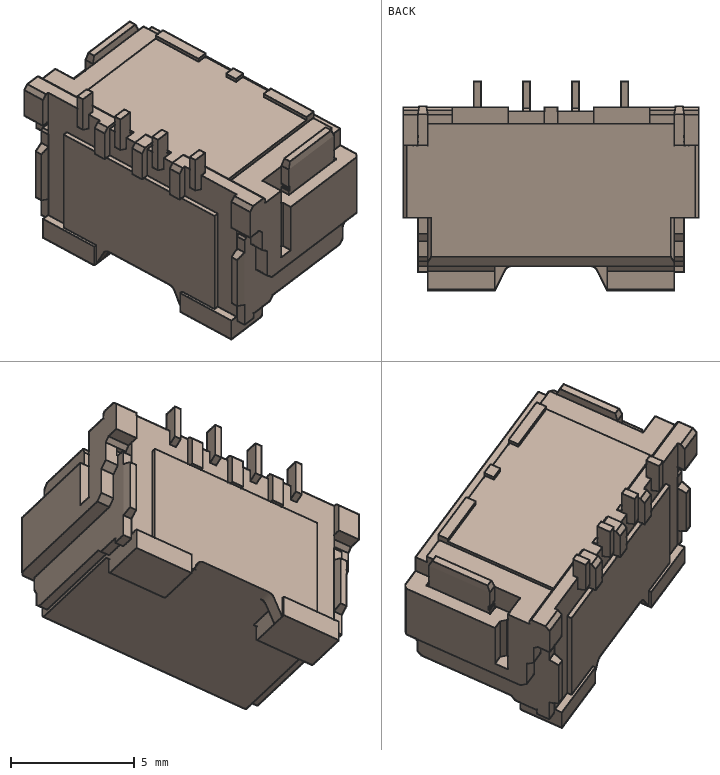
import cadquery as cq
import math


WIDTH = 12.0
DEPTH = 6.9
HEIGHT = 8.5

WING_X = WIDTH / 2
WALL_X = 5.4
BODY_X = 5.0
PANEL_X = 4.01
FOOT_INNER_X = 2.28

FRONT_Y = 0.05
PANEL_Y = 0.17
BODY_Y = 0.37
WALL_Y = 0.41
WING_STEP_Y = 0.8
STEP_Y = 2.0
SHELF_Y = 6.37

FLOOR_Z = 1.0
WING_BOTTOM_Z = 2.96
WALL_TOP_Z = 5.3
WING_STEP_Z = 5.71
WING_TOP_Z = 5.9
SHELF_Z = 6.78
STRIP_Z = 7.14
PLATE_Z = 7.3
TOP_Z = 7.45

CORNER_CHAMFER = 0.15
WALL_CHAMFER = 0.1

BAR_BACK_Y = 1.0
BAR_CHAMFER = 0.19
BAR_BACK_CHAMFER_Y = 0.08
BAR_BACK_CHAMFER_Z = 0.12

PIN_PITCH = 1.99

RIB_WIDTH = 0.53
RIB_PITCH = PIN_PITCH
PAD_LENGTH_Y = 0.45
PAD_OVERHANG = 0.04

PIN_COUNT = 4
PIN_WIDTH = 0.3
PIN_DEPTH = 0.6
PIN_TIP_Z = 6.89
PIN_DROP = 0.17
PIN_HEEL_Y = 0.84
PIN_HEEL_RISE = 0.12

OPENING_DRAFT = 26.3
OPENING_RADIUS = 0.3
OPENING_LIP_BACK_Y = 0.72

FOOT_BACK_CHAMFER = 0.07
FOOT_ROOT_CHAMFER = 0.19

WING_LEDGE_Y = 1.12
WING_LEDGE_TOP_Z = 4.51
WING_LEDGE_DROP = 0.26
WING_ROOT_CHAMFER_Y = 0.29
WING_ROOT_CHAMFER_Z = 0.26

WALL_TOE_Z = 0.75
WALL_RISE = 0.2
WALL_BOTTOM_CHAMFER = 0.19
WALL_BACK_Y = 6.59
WALL_FLARE_Z = 2.0
WALL_FLARE_RISE = 0.31

BODY_CHAMFER_Y = 0.24
BODY_CHAMFER_Z = 0.4

SLOT_LENGTH_Y = 0.6
SLOT_FLOOR_Z = 3.62
SLOT_CHAMFER = 0.19
RAMP_SIZE = 0.38

CLEARANCE_DEPTH = 0.19

TAB_TAPER_X = 0.05
TOP_TAB_Y = (3.19, 6.05)
TOP_TAB_Z = 7.5
TOP_TAB_SHOULDER_Z = 7.18
TOP_TAB_TAPER_Y = 0.13
TAB_POCKET_GAP = 0.05
TAB_POCKET_BACK_GAP = 0.08
TAB_POCKET_DEPTH = 0.12
TAB_NOTCH_Z = (6.05, 6.23)
TAB_NOTCH_DEPTH = 0.07
FRONT_TAB_Z = (1.81, 4.57)
FRONT_TAB_TAPER_Z = 0.17


def box(x0, x1, y0, y1, z0, z1):
    return cq.Workplane("XY").box(x1 - x0, y1 - y0, z1 - z0, centered=False).translate((x0, y0, z0))


def side_profile(points, x0, x1):
    """Extrude a (Y, Z) outline from x0 to x1."""
    return cq.Workplane("YZ", origin=(x0, 0, 0)).polyline(points).close().extrude(x1 - x0)


def both_sides(shape):
    return shape.union(shape.mirror("YZ"))


def main_body():
    outline = [
        (BODY_Y, FLOOR_Z),
        (DEPTH - BODY_CHAMFER_Y, FLOOR_Z),
        (DEPTH, FLOOR_Z + BODY_CHAMFER_Z),
        (DEPTH, SHELF_Z),
        (SHELF_Y, SHELF_Z),
        (SHELF_Y, STRIP_Z),
        (BODY_Y, STRIP_Z),
    ]
    body = side_profile(outline, -BODY_X, BODY_X)
    for side in (-1, 1):
        corner = [
            (side * BODY_X, DEPTH),
            (side * BODY_X, DEPTH - CORNER_CHAMFER),
            (side * (BODY_X - CORNER_CHAMFER), DEPTH),
        ]
        below_wing = cq.Workplane("XY").polyline(corner).close().extrude(WING_BOTTOM_Z)
        body = body.cut(below_wing)
    top_plate = box(-PANEL_X, PANEL_X, BODY_Y, SHELF_Y, STRIP_Z, PLATE_Z)
    front_panel = box(-PANEL_X, PANEL_X, PANEL_Y, BODY_Y, FLOOR_Z, WING_TOP_Z)
    return body.union(top_plate).union(front_panel)


def wings():
    """Outer layer: end block at the front, stepped underside and slotted side wing."""
    outline = [
        (FRONT_Y, WING_TOP_Z),
        (WING_STEP_Y - (WING_TOP_Z - WING_STEP_Z), WING_TOP_Z),
        (WING_STEP_Y, WING_STEP_Z),
        (WING_STEP_Y, WING_LEDGE_TOP_Z + WING_LEDGE_DROP),
        (WING_LEDGE_Y, WING_LEDGE_TOP_Z),
        (WING_LEDGE_Y, WING_BOTTOM_Z + WING_ROOT_CHAMFER_Z),
        (WING_LEDGE_Y + WING_ROOT_CHAMFER_Y, WING_BOTTOM_Z),
        (DEPTH, WING_BOTTOM_Z),
        (DEPTH, WING_TOP_Z),
        (STEP_Y, WING_TOP_Z),
        (STEP_Y, STRIP_Z),
        (BAR_BACK_Y, STRIP_Z),
        (BAR_BACK_Y, TOP_Z - BAR_BACK_CHAMFER_Z),
        (BAR_BACK_Y - BAR_BACK_CHAMFER_Y, TOP_Z),
        (FRONT_Y + BAR_CHAMFER, TOP_Z),
        (FRONT_Y, TOP_Z - BAR_CHAMFER),
    ]
    wing = side_profile(outline, BODY_X, WING_X)
    wing = wing.edges("|Z and >X and >Y").chamfer(CORNER_CHAMFER)

    slot_end_y = STEP_Y + SLOT_LENGTH_Y
    slot_outline = [
        (WALL_X, STEP_Y),
        (WING_X, STEP_Y),
        (WING_X, slot_end_y),
        (WALL_X + SLOT_CHAMFER, slot_end_y),
        (WALL_X, slot_end_y - SLOT_CHAMFER),
    ]
    slot_depth = WING_TOP_Z - SLOT_FLOOR_Z
    slot = cq.Workplane("XY", origin=(0, 0, SLOT_FLOOR_Z)).polyline(slot_outline).close().extrude(slot_depth)

    pocket = box(
        BODY_X, WALL_X + TAB_POCKET_GAP,
        TOP_TAB_Y[0] - TAB_POCKET_GAP, TOP_TAB_Y[1] + TAB_POCKET_BACK_GAP,
        WING_TOP_Z - TAB_POCKET_DEPTH, WING_TOP_Z,
    )

    clearance = box(
        BODY_X, WALL_X + TAB_POCKET_GAP,
        WING_STEP_Y, WING_STEP_Y + CLEARANCE_DEPTH,
        WALL_TOP_Z, WING_STEP_Z,
    )

    ramp_outline = [
        (STEP_Y, WING_TOP_Z),
        (STEP_Y + RAMP_SIZE, WING_TOP_Z),
        (STEP_Y, WING_TOP_Z + RAMP_SIZE),
    ]
    ramp = side_profile(ramp_outline, BODY_X, WALL_X)
    for recess in (slot, pocket, clearance):
        wing = wing.cut(recess)
    return both_sides(wing.union(ramp))


def side_walls():
    """Middle layer below the wings."""
    bottom_z = FLOOR_Z + WALL_RISE
    flare_y = DEPTH - CORNER_CHAMFER
    outline = [
        (WALL_Y, WALL_TOE_Z),
        (BAR_BACK_Y, WALL_TOE_Z),
        (BAR_BACK_Y, FLOOR_Z),
        (STEP_Y, FLOOR_Z),
        (STEP_Y + WALL_BOTTOM_CHAMFER, bottom_z),
        (WALL_BACK_Y - WALL_BOTTOM_CHAMFER, bottom_z),
        (WALL_BACK_Y, bottom_z + WALL_BOTTOM_CHAMFER),
        (WALL_BACK_Y, WALL_FLARE_Z),
        (flare_y, WALL_FLARE_Z + WALL_FLARE_RISE),
        (flare_y, WING_BOTTOM_Z),
        (WING_LEDGE_Y + WING_ROOT_CHAMFER_Y, WALL_TOP_Z),
        (WALL_Y + WALL_CHAMFER, WALL_TOP_Z),
        (WALL_Y, WALL_TOP_Z - WALL_CHAMFER),
    ]
    return both_sides(side_profile(outline, BODY_X, WALL_X))


def top_bar():
    """Bar on the front top edge, with one notch on each side of the middle rib."""
    outline = [
        (BODY_Y, STRIP_Z),
        (BAR_BACK_Y, STRIP_Z),
        (BAR_BACK_Y, TOP_Z - BAR_BACK_CHAMFER_Z),
        (BAR_BACK_Y - BAR_BACK_CHAMFER_Y, TOP_Z),
        (BODY_Y, TOP_Z),
    ]
    bar = side_profile(outline, -BODY_X, BODY_X)
    notch = box(RIB_WIDTH / 2, RIB_PITCH - RIB_WIDTH / 2, BODY_Y, BAR_BACK_Y, PLATE_Z, TOP_Z)
    return bar.cut(both_sides(notch))


def front_ribs():
    outline = [
        (BODY_Y, WING_TOP_Z),
        (FRONT_Y, WING_TOP_Z),
        (FRONT_Y, TOP_Z - BAR_CHAMFER),
        (FRONT_Y + BAR_CHAMFER, TOP_Z),
        (BODY_Y, TOP_Z),
    ]
    ribs = cq.Workplane("XY")
    for position in (-1, 0, 1):
        centre_x = position * RIB_PITCH
        ribs = ribs.union(side_profile(outline, centre_x - RIB_WIDTH / 2, centre_x + RIB_WIDTH / 2))
    return ribs


def back_pads():
    back_y = SHELF_Y + PAD_OVERHANG
    front_y = back_y - PAD_LENGTH_Y
    middle = box(-RIB_WIDTH / 2, RIB_WIDTH / 2, front_y, back_y, SHELF_Z, TOP_Z)
    outer = box(RIB_PITCH - RIB_WIDTH / 2, PANEL_X, front_y, back_y, SHELF_Z, TOP_Z)
    return middle.union(both_sides(outer))


def feet():
    """Pair of feet with an opening between them: drafted and rounded in front, straight behind."""
    outline = [
        (BODY_Y, 0),
        (STEP_Y - FOOT_BACK_CHAMFER, 0),
        (STEP_Y, FOOT_BACK_CHAMFER),
        (STEP_Y, FLOOR_Z),
        (BODY_Y, FLOOR_Z),
    ]
    block = side_profile(outline, -BODY_X, BODY_X)
    block = block.union(box(-PANEL_X, PANEL_X, PANEL_Y, BODY_Y, 0, FLOOR_Z))

    top_x = FOOT_INNER_X - FLOOR_Z * math.tan(math.radians(OPENING_DRAFT))
    opening_outline = [(-FOOT_INNER_X, 0), (FOOT_INNER_X, 0), (top_x, FLOOR_Z), (-top_x, FLOOR_Z)]
    opening = cq.Workplane("XZ").polyline(opening_outline).close().extrude(-DEPTH)
    opening = opening.edges("|Y and >Z").fillet(OPENING_RADIUS)

    rear_opening = box(-FOOT_INNER_X, FOOT_INNER_X, OPENING_LIP_BACK_Y, STEP_Y, 0, FLOOR_Z)
    block = block.cut(opening).cut(rear_opening)

    front_plate = box(FOOT_INNER_X, BODY_X, FRONT_Y, BODY_Y, 0, FLOOR_Z)
    root_outline = [
        (STEP_Y, FLOOR_Z),
        (STEP_Y + FOOT_ROOT_CHAMFER, FLOOR_Z),
        (STEP_Y, FLOOR_Z - FOOT_ROOT_CHAMFER),
    ]
    root = side_profile(root_outline, FOOT_INNER_X, BODY_X)
    return block.union(both_sides(front_plate.union(root)))


def pins():
    outline = [
        (0, HEIGHT),
        (0, PIN_TIP_Z),
        (BODY_Y, PIN_TIP_Z - PIN_DROP),
        (PIN_HEEL_Y, PIN_TIP_Z - PIN_DROP),
        (PIN_HEEL_Y, PLATE_Z),
        (PIN_DEPTH, PLATE_Z + PIN_HEEL_RISE),
        (PIN_DEPTH, HEIGHT),
    ]
    row = cq.Workplane("XY")
    for index in range(PIN_COUNT):
        centre_x = (index - (PIN_COUNT - 1) / 2) * PIN_PITCH
        row = row.union(side_profile(outline, centre_x - PIN_WIDTH / 2, centre_x + PIN_WIDTH / 2))
    return row


def top_tabs():
    """Tapered clip tabs standing in the wing pockets."""
    y0, y1 = TOP_TAB_Y
    width = WALL_X - BODY_X
    length = y1 - y0
    blade = box(BODY_X, WALL_X, y0, y1, WING_TOP_Z - TAB_POCKET_DEPTH, TOP_TAB_SHOULDER_Z)
    taper = (
        cq.Workplane("XY", origin=(BODY_X + width / 2, y0 + length / 2, TOP_TAB_SHOULDER_Z))
        .rect(width, length)
        .workplane(offset=TOP_TAB_Z - TOP_TAB_SHOULDER_Z)
        .rect(width - 2 * TAB_TAPER_X, length - 2 * TOP_TAB_TAPER_Y)
        .loft(ruled=True)
    )
    notch = box(BODY_X, WALL_X, y0, y0 + TAB_NOTCH_DEPTH, *TAB_NOTCH_Z)
    return both_sides(blade.cut(notch).union(taper))


def front_tabs():
    """Tapered clip tabs projecting from the front of the side walls."""
    z0, z1 = FRONT_TAB_Z
    width = WALL_X - BODY_X
    height = z1 - z0
    tab = (
        cq.Workplane("XZ", origin=(BODY_X + width / 2, WALL_Y, z0 + height / 2))
        .rect(width, height)
        .workplane(offset=WALL_Y)
        .rect(width - 2 * TAB_TAPER_X, height - 2 * FRONT_TAB_TAPER_Z)
        .loft(ruled=True)
    )
    return both_sides(tab)


result = main_body()
for feature in (wings, side_walls, top_bar, front_ribs, back_pads, feet, pins, top_tabs, front_tabs):
    result = result.union(feature())